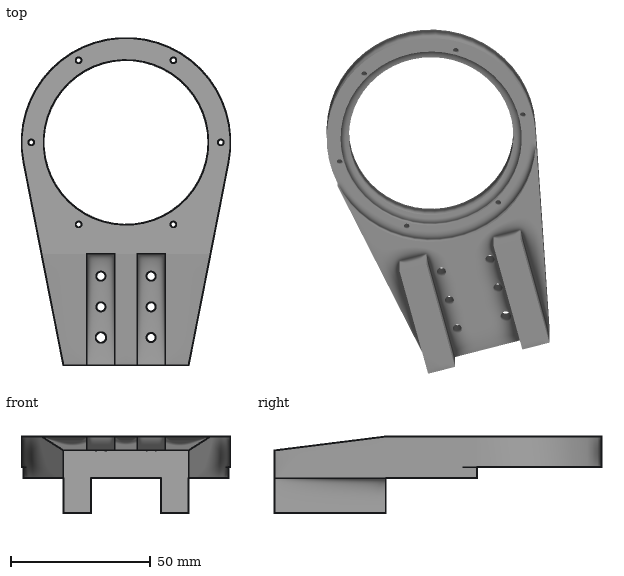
import cadquery as cq
import math

RING_RADIUS = 37.5
BORE_RADIUS = 29.5
RECESS_RADIUS = 32.5
RECESS_TOP_DEPTH = 8.0
RING_THICKNESS = 11.0
RING_HOLE_COUNT = 6
RING_HOLE_CIRCLE_RADIUS = 34.0
RING_HOLE_DIAMETER = 2.0

ARM_END_Y = -80.0
ARM_END_WIDTH = 45.0
ARM_THICKNESS = 15.0

SLOPE_LENGTH = 40.0
SLOPE_DROP = 5.0

LEG_WIDTH = 10.0
LEG_HEIGHT = 12.5
LEG_LENGTH = 40.0

CHANNEL_WIDTH = 10.0
CHANNEL_OFFSET = 9.0
SCREW_HOLE_DIAMETER = 3.2
LARGE_SCREW_HOLE_DIAMETER = 3.7
SCREW_HOLE_COUNT = 3
SCREW_HOLE_PITCH = 11.0
SCREW_HOLE_END_DISTANCE = 10.0

SLOPE_START_Y = ARM_END_Y + SLOPE_LENGTH
HALF_END_WIDTH = ARM_END_WIDTH / 2
TOTAL_HEIGHT = ARM_THICKNESS + LEG_HEIGHT
SIDES = (-1, 1)


def tangent_point():
    """Point on the +X side of the ring where the arm's straight side touches it."""
    corner_distance = math.hypot(HALF_END_WIDTH, ARM_END_Y)
    corner_angle = math.atan2(ARM_END_Y, HALF_END_WIDTH)
    angle = corner_angle + math.acos(RING_RADIUS / corner_distance)
    return RING_RADIUS * math.cos(angle), RING_RADIUS * math.sin(angle)


def block(x_min, x_max, y_min, y_max, z_min, z_max):
    """Axis-aligned box given by its limits."""
    size = (x_max - x_min, y_max - y_min, z_max - z_min)
    return cq.Workplane("XY").box(*size, centered=False).translate((x_min, y_min, z_min))


def make_ring():
    return cq.Workplane("XY").circle(RING_RADIUS).extrude(-RING_THICKNESS)


def make_arm():
    """Trapezoid from the tangent points on the ring to the free end."""
    tangent_x, tangent_y = tangent_point()
    outline = [
        (-tangent_x, tangent_y),
        (tangent_x, tangent_y),
        (HALF_END_WIDTH, ARM_END_Y),
        (-HALF_END_WIDTH, ARM_END_Y),
    ]
    return cq.Workplane("XY").polyline(outline).close().extrude(-ARM_THICKNESS)


def make_leg(side):
    outer_x = side * HALF_END_WIDTH
    inner_x = side * (HALF_END_WIDTH - LEG_WIDTH)
    return block(
        min(outer_x, inner_x),
        max(outer_x, inner_x),
        ARM_END_Y,
        ARM_END_Y + LEG_LENGTH,
        -TOTAL_HEIGHT,
        -ARM_THICKNESS,
    )


def make_slope_cutter():
    """Wedge above the sloped top, wide enough to span the arm."""
    return (
        cq.Workplane("YZ")
        .polyline([(SLOPE_START_Y, 0), (ARM_END_Y, 0), (ARM_END_Y, -SLOPE_DROP)])
        .close()
        .extrude(RING_RADIUS, both=True)
    )


def make_channel_cutter(side):
    center_x = side * CHANNEL_OFFSET
    return block(
        center_x - CHANNEL_WIDTH / 2,
        center_x + CHANNEL_WIDTH / 2,
        ARM_END_Y,
        SLOPE_START_Y,
        -SLOPE_DROP,
        0,
    )


def make_round_cutter(radius, top_depth, bottom_depth):
    """Disc on the ring's axis between two depths below the top face."""
    return (
        cq.Workplane("XY", origin=(0, 0, -top_depth))
        .circle(radius)
        .extrude(top_depth - bottom_depth)
    )


def make_hole_cutter(x, y, diameter):
    return cq.Workplane("XY").center(x, y).circle(diameter / 2).extrude(-TOTAL_HEIGHT)


def make_screw_hole_cutter(side, index):
    """The hole nearest the free end on the -X side is larger than the others."""
    is_large = side < 0 and index == 0
    diameter = LARGE_SCREW_HOLE_DIAMETER if is_large else SCREW_HOLE_DIAMETER
    y = ARM_END_Y + SCREW_HOLE_END_DISTANCE + index * SCREW_HOLE_PITCH
    return make_hole_cutter(side * CHANNEL_OFFSET, y, diameter)


def make_ring_hole_cutter(index):
    angle = 2 * math.pi * index / RING_HOLE_COUNT
    x = RING_HOLE_CIRCLE_RADIUS * math.cos(angle)
    y = RING_HOLE_CIRCLE_RADIUS * math.sin(angle)
    return make_hole_cutter(x, y, RING_HOLE_DIAMETER)


result = make_ring().union(make_arm())

result = result.cut(make_round_cutter(BORE_RADIUS, 0, RING_THICKNESS))
result = result.cut(make_round_cutter(RECESS_RADIUS, RECESS_TOP_DEPTH, RING_THICKNESS))
result = result.cut(make_round_cutter(RING_RADIUS, RING_THICKNESS, ARM_THICKNESS))

result = result.cut(make_slope_cutter())

for side in SIDES:
    result = result.union(make_leg(side))
    result = result.cut(make_channel_cutter(side))
    for index in range(SCREW_HOLE_COUNT):
        result = result.cut(make_screw_hole_cutter(side, index))

for index in range(RING_HOLE_COUNT):
    result = result.cut(make_ring_hole_cutter(index))